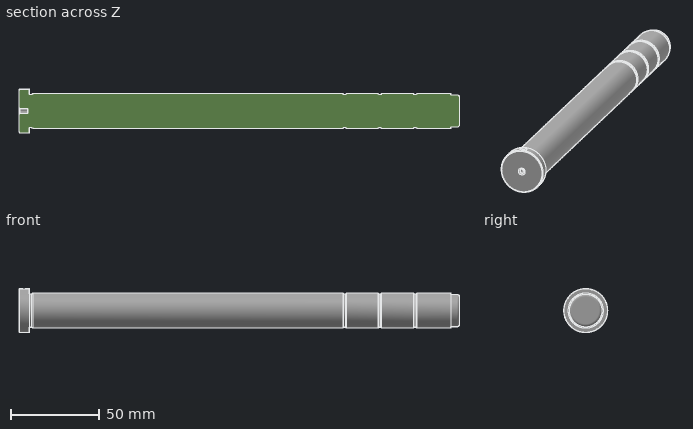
import cadquery as cq

length = 250.0
head_diameter = 25.0
head_length = 6.0
head_chamfer = 0.5
shaft_diameter = 20.0
shaft_radius = shaft_diameter / 2

relief_depth = 0.5
relief_length = 2.0
relief_slope_length = 0.8

groove_width = 2.0
groove_floor_width = 1.0
groove_depth = 0.5
groove_spacing = 20.0
groove_count = 3
last_groove_x = 224.8

lead_length = 5.0
lead_depth = 0.8
tip_round = 1.5

hole_diameter = 2.5
hole_depth = 5.0
countersink_diameter = 4.0
countersink_angle = 90.0


def make_body():
    """Revolve the half outline of the headed pin about X."""
    head_radius = head_diameter / 2
    relief_radius = shaft_radius - relief_depth
    relief_end = head_length + relief_length
    lead_start = length - lead_length
    lead_radius = shaft_radius - lead_depth
    outline = (
        cq.Workplane("XY")
        .moveTo(0, 0)
        .lineTo(0, head_radius - head_chamfer)
        .lineTo(head_chamfer, head_radius)
        .lineTo(head_length, head_radius)
        .lineTo(head_length, relief_radius)
        .lineTo(relief_end - relief_slope_length, relief_radius)
        .lineTo(relief_end, shaft_radius)
        .lineTo(lead_start, shaft_radius)
        .lineTo(lead_start, lead_radius)
        .lineTo(length, lead_radius)
        .lineTo(length, 0)
        .close()
    )
    body = outline.revolve(360, (0, 0, 0), (1, 0, 0))
    return body.faces(">X").edges().fillet(tip_round)


def make_groove(x):
    """Ring of trapezoid section that cuts a shallow groove centred at x."""
    half_width = groove_width / 2
    half_floor = groove_floor_width / 2
    floor_radius = shaft_radius - groove_depth
    section = cq.Workplane("XY").polyline(
        [
            (x - half_width, head_diameter / 2),
            (x - half_width, shaft_radius),
            (x - half_floor, floor_radius),
            (x + half_floor, floor_radius),
            (x + half_width, shaft_radius),
            (x + half_width, head_diameter / 2),
        ]
    )
    return section.close().revolve(360, (0, 0, 0), (1, 0, 0))


def drill_hole(body, plane):
    """Drill a countersunk blind hole at the plane origin, against its normal."""
    return (
        cq.Workplane(plane)
        .add(body)
        .pushPoints([(0, 0)])
        .cskHole(hole_diameter, countersink_diameter, countersink_angle, hole_depth)
    )


result = make_body()
for index in range(groove_count):
    result = result.cut(make_groove(last_groove_x - index * groove_spacing))

head_face = cq.Plane(origin=(0, 0, 0), xDir=(0, 1, 0), normal=(-1, 0, 0))
head_top = cq.Plane(origin=(head_length / 2, 0, head_diameter / 2))
for hole_plane in (head_face, head_top):
    result = drill_hole(result, hole_plane)